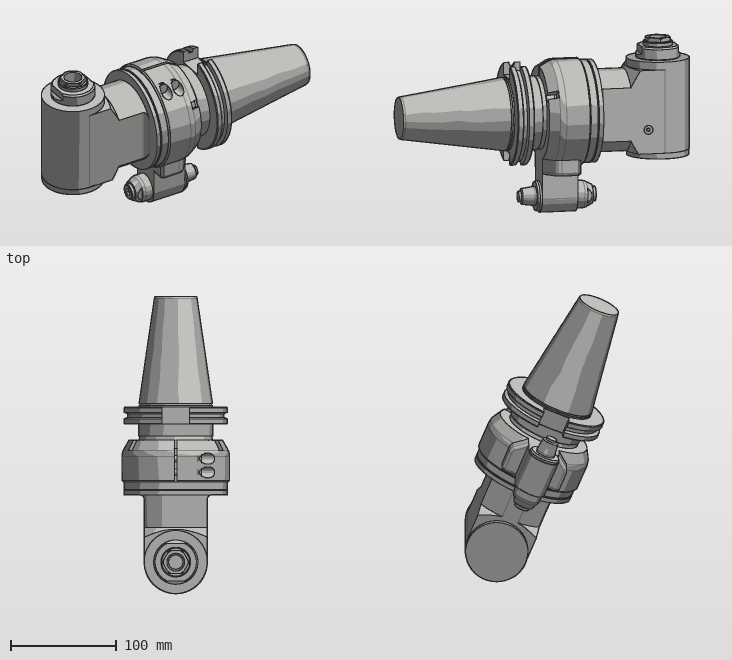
import cadquery as cq
import math


OVERALL_LENGTH = 281.5

HEAD_RADIUS = 60.0 / 2
HEAD_TOP = 49.0
HEAD_BOTTOM = -44.2
CAP_TOP = -38.5
CAP_RADIUS = 29.5
CHEEK_TOP = 41.7
NECK_RADIUS = 39.5
FLARE_START = 33.0
FLARE_LENGTH = 11.3
FLARE_GROWTH = 14.5
NECK_END = 63.6
FLAT_FILLET = 4.2

PLUG_Y = 15.8
PLUG_Z = -15.5
PLUG_DIAMETER = 8.5
PLUG_DEPTH = 0.5
PLUG_SOCKET_DIAMETER = 3.0
PLUG_SOCKET_DEPTH = 2.3

SHOULDER_RADIUS = 49.0
SHOULDER_GROOVE_Y = 68.5
SHOULDER_GROOVE_WIDTH = 1.0
SHOULDER_GROOVE_DEPTH = 0.8
COLLAR_FRONT = 76.0
COLLAR_BACK = 115.5
JOURNAL_RADIUS = 37.2
JOURNAL_END = 107.5
RELIEF_RADIUS = 35.0
RELIEF_WAIST_RADIUS = 34.0
RELIEF_END = 119.5
SHANK_RADIUS = 35.2
FLANGE_RADIUS = 49.0
FLANGE_FRONT = 130.7
FLANGE_WIDTH = 16.3
FLANGE_RIM_WIDTH = 5.0
FLANGE_GROOVE_RADIUS = 45.5
FLANGE_GROOVE_WIDTH = 3.5
FLANGE_CHAMFER = 0.8
DRIVE_SLOT_WIDTH = 25.5
DRIVE_SLOT_HEIGHT = 35.5
GAUGE_Y = 150.0
GAUGE_RADIUS = 35.0
GAUGE_GROOVE_RADIUS = 34.0
GAUGE_GROOVE_WIDTH = 1.7
ARBOR_END = OVERALL_LENGTH - HEAD_RADIUS
TAPER_RATIO = 7 / 48
TAPER_END_CHAMFER = 2.0
TAPER_END_STEP = 0.5

COLLAR_RADIUS = 51.0
COLLAR_CHAMFER = 1.5
COLLAR_CONE_START = 106.0
COLLAR_CONE_RADIUS = 49.8
COLLAR_BACK_RADIUS = 44.5
COLLAR_ROUND_START = 100.0
SLIT_WIDTH = 2.8
NOTCH_ANGLES = (30, 150)
NOTCH_WIDTH = 6.8
NOTCH_FLOOR = 38.0
SCREW_PLACES = (85.0, 98.0)
SCREW_Z = 40.5
SCREW_DIAMETER = 6.0
SCREW_HEAD_DIAMETER = 10.0
SCREW_HEAD_END = 24.2
SCREW_POCKET_DIAMETER = 10.5
SCREW_POCKET_FLOOR = 21.0

LUG_FRONT = 80.8
LUG_HALF_WIDTH = 29.3
LUG_BOTTOM = -57.2
LUG_CHAMFER = 2.3
LUG_FILLET = 2.8
LUG_BORE_RADIUS = 41.7
ARM_RADIUS = 15.0
ARM_BOTTOM = -95.7
ARM_CENTRE_Z = ARM_BOTTOM + ARM_RADIUS

PIN_Z = -80.0
PIN_SHANK_RADIUS = 18.0 / 2
PIN_NOSE_END = 61.0
PIN_NOSE_RADIUS = 7.3
PIN_NOSE_CHAMFER = 0.5
PIN_BUSH_CONE_END = 64.5
PIN_BUSH_CONE_END_RADIUS = 9.3
PIN_BUSH_CONE_START = 70.5
PIN_BUSH_CONE_START_RADIUS = 12.5
PIN_BUSH_CHAMFER_START = 73.5
PIN_BUSH_RADIUS = 13.2
PIN_FLAT_WIDTH = 20.3
PIN_SOCKET_CORNERS = 7.0
PIN_SOCKET_DEPTH = 2.5
PIN_SOCKET_TURN = 30
PIN_FLANGE_RADIUS = 14.6
PIN_FLANGE_CHAMFER = 0.8
PIN_FLANGE_RIM_END = 117.5
PIN_FLANGE_BACK = 119.5
PIN_TIP_START = 121.0
PIN_TIP_SMALL_RADIUS = 7.5
PIN_TIP_SMALL_END = 132.5
PIN_TIP_CHAMFER_END = 133.5
PIN_END_RADIUS = 10.0 / 2
PIN_END = 135.7

NOSE_RADIUS = 42.0 / 2
NOSE_TOP = 61.0
NOSE_BASE_CHAMFER = 0.8
NOSE_TOP_CHAMFER = 1.5
NOSE_TOP_CHAMFER_HEIGHT = 1.7
NOSE_FLAT = 17.7
NOSE_FLAT_BOTTOM = 54.3
NOSE_FLAT_RUNOUT = 1.7
HUB_RADIUS = 14.0
HUB_TOP = 65.0
HUB_CHAMFER = 0.8
HEX_CORNERS = 25.3
HEX_CHAMFER = 1.0
SPINDLE_TOP = 68.7
BORE_RADIUS = 8.5
BORE_FLOOR_RADIUS = 6.8
BORE_DEPTH = 11.3


def box(x_range, y_range, z_range):
    """Box between the given limits along each axis."""
    sizes = [limits[1] - limits[0] for limits in (x_range, y_range, z_range)]
    corner = (x_range[0], y_range[0], z_range[0])
    return cq.Workplane("XY").box(*sizes, centered=False).translate(corner)


def turned_about_y(points, centre_z=0):
    """Solid turned about a Y-parallel axis from a closed outline of (radius, y) points."""
    outline = cq.Workplane("XY").polyline(points).close()
    return outline.revolve(360, (0, 0, 0), (0, 1, 0)).translate((0, 0, centre_z))


def disc_along_x(radius, x_range, y, z):
    """Cylinder whose axis runs along X."""
    length = x_range[1] - x_range[0]
    return cq.Workplane("YZ", origin=(x_range[0], y, z)).circle(radius).extrude(length)


def make_neck():
    """Neck with a conical flare, planed on both sides and running into the head."""
    flare_end = FLARE_START - FLARE_LENGTH
    flare_radius = NECK_RADIUS + FLARE_GROWTH
    turned = turned_about_y([
        (0, 0), (flare_radius, 0), (flare_radius, flare_end),
        (NECK_RADIUS, FLARE_START), (NECK_RADIUS, NECK_END), (0, NECK_END),
    ])
    plan = (
        cq.Workplane("XY", origin=(0, 0, CAP_TOP))
        .moveTo(-HEAD_RADIUS, 0)
        .lineTo(HEAD_RADIUS, 0)
        .lineTo(HEAD_RADIUS, NECK_END - FLAT_FILLET)
        .radiusArc((HEAD_RADIUS + FLAT_FILLET, NECK_END), FLAT_FILLET)
        .lineTo(-HEAD_RADIUS - FLAT_FILLET, NECK_END)
        .radiusArc((-HEAD_RADIUS, NECK_END - FLAT_FILLET), FLAT_FILLET)
        .close()
        .extrude(CHEEK_TOP - CAP_TOP)
    )
    return turned.intersect(plan)


def make_head():
    """Upright cylinder of the housing with a slightly narrower cap below."""
    head = cq.Workplane("XY", origin=(0, 0, CAP_TOP)).circle(HEAD_RADIUS).extrude(HEAD_TOP - CAP_TOP)
    cap = cq.Workplane("XY", origin=(0, 0, HEAD_BOTTOM)).circle(CAP_RADIUS).extrude(CAP_TOP - HEAD_BOTTOM)
    return head.union(cap)


def make_arbor():
    """Shoulder ring, journal, shank, grooved flange and steep taper, turned in one."""
    flange_back = FLANGE_FRONT + FLANGE_WIDTH
    flange_middle = FLANGE_FRONT + FLANGE_WIDTH / 2
    rim_edge = FLANGE_RADIUS - FLANGE_CHAMFER
    front_rim_end = FLANGE_FRONT + FLANGE_RIM_WIDTH
    back_rim_end = flange_back - FLANGE_RIM_WIDTH
    chamfer_start = ARBOR_END - TAPER_END_CHAMFER
    taper_end_radius = GAUGE_RADIUS - TAPER_RATIO * (chamfer_start - GAUGE_Y)
    arbor = turned_about_y([
        (0, NECK_END),
        (SHOULDER_RADIUS, NECK_END),
        (SHOULDER_RADIUS, COLLAR_FRONT),
        (JOURNAL_RADIUS, COLLAR_FRONT),
        (JOURNAL_RADIUS, JOURNAL_END),
        (RELIEF_RADIUS, JOURNAL_END),
        (RELIEF_RADIUS, COLLAR_BACK),
        (RELIEF_WAIST_RADIUS, RELIEF_END),
        (SHANK_RADIUS, RELIEF_END),
        (SHANK_RADIUS, FLANGE_FRONT),
        (rim_edge, FLANGE_FRONT),
        (FLANGE_RADIUS, FLANGE_FRONT + FLANGE_CHAMFER),
        (FLANGE_RADIUS, front_rim_end),
        (FLANGE_GROOVE_RADIUS, flange_middle - FLANGE_GROOVE_WIDTH / 2),
        (FLANGE_GROOVE_RADIUS, flange_middle + FLANGE_GROOVE_WIDTH / 2),
        (FLANGE_RADIUS, back_rim_end),
        (FLANGE_RADIUS, flange_back - FLANGE_CHAMFER),
        (rim_edge, flange_back),
        (GAUGE_RADIUS, flange_back),
        (GAUGE_RADIUS, GAUGE_Y - GAUGE_GROOVE_WIDTH),
        (GAUGE_GROOVE_RADIUS, GAUGE_Y - GAUGE_GROOVE_WIDTH),
        (GAUGE_GROOVE_RADIUS, GAUGE_Y),
        (GAUGE_RADIUS, GAUGE_Y),
        (taper_end_radius, chamfer_start),
        (taper_end_radius - TAPER_END_STEP, ARBOR_END),
        (0, ARBOR_END),
    ])
    groove_floor = SHOULDER_RADIUS - SHOULDER_GROOVE_DEPTH
    groove_front = SHOULDER_GROOVE_Y - SHOULDER_GROOVE_WIDTH / 2
    groove_back = SHOULDER_GROOVE_Y + SHOULDER_GROOVE_WIDTH / 2
    groove = turned_about_y([
        (groove_floor, groove_front), (COLLAR_RADIUS, groove_front),
        (COLLAR_RADIUS, groove_back), (groove_floor, groove_back),
    ])
    arbor = arbor.cut(groove)
    slot_x = (-DRIVE_SLOT_WIDTH / 2, DRIVE_SLOT_WIDTH / 2)
    for z_range in ((DRIVE_SLOT_HEIGHT, FLANGE_RADIUS), (-FLANGE_RADIUS, -DRIVE_SLOT_HEIGHT)):
        arbor = arbor.cut(box(slot_x, (FLANGE_FRONT, flange_back), z_range))
    return arbor


def make_housing():
    """Housing with the arbor, the neck, the head and a socket plug in its -X side."""
    housing = make_arbor().union(make_neck()).union(make_head())
    recess_x = (-HEAD_RADIUS, -HEAD_RADIUS + PLUG_DEPTH)
    socket_x = (-HEAD_RADIUS, -HEAD_RADIUS + PLUG_SOCKET_DEPTH)
    housing = housing.cut(disc_along_x(PLUG_DIAMETER / 2, recess_x, PLUG_Y, PLUG_Z))
    return housing.cut(disc_along_x(PLUG_SOCKET_DIAMETER / 2, socket_x, PLUG_Y, PLUG_Z))


def tangent_round_radius(drop):
    """Radius of the round that leaves the straight flank tangentially and drops inward to the cone."""
    run = COLLAR_CONE_START - COLLAR_ROUND_START
    return (run**2 + drop**2) / (2 * drop)


def make_ring():
    """Turned ring of the collar, stepped inside to fit the journal and the relief behind it."""
    round_radius = tangent_round_radius(COLLAR_RADIUS - COLLAR_CONE_RADIUS)
    return (
        cq.Workplane("XY")
        .moveTo(JOURNAL_RADIUS, COLLAR_FRONT)
        .lineTo(COLLAR_RADIUS - COLLAR_CHAMFER, COLLAR_FRONT)
        .lineTo(COLLAR_RADIUS, COLLAR_FRONT + COLLAR_CHAMFER)
        .lineTo(COLLAR_RADIUS, COLLAR_ROUND_START)
        .radiusArc((COLLAR_CONE_RADIUS, COLLAR_CONE_START), -round_radius)
        .lineTo(COLLAR_BACK_RADIUS, COLLAR_BACK)
        .lineTo(RELIEF_RADIUS, COLLAR_BACK)
        .lineTo(RELIEF_RADIUS, JOURNAL_END)
        .lineTo(JOURNAL_RADIUS, JOURNAL_END)
        .close()
        .revolve(360, (0, 0, 0), (0, 1, 0))
    )


def make_lug():
    """Lug below the ring; its sides narrow with the ring so that they meet it at one height."""
    meeting_height_squared = COLLAR_RADIUS**2 - LUG_HALF_WIDTH**2
    cone_start_width = math.sqrt(COLLAR_CONE_RADIUS**2 - meeting_height_squared)
    back_width = math.sqrt(COLLAR_BACK_RADIUS**2 - meeting_height_squared)
    round_radius = tangent_round_radius(LUG_HALF_WIDTH - cone_start_width)
    lug = (
        cq.Workplane("XY", origin=(0, 0, LUG_BOTTOM))
        .moveTo(-LUG_HALF_WIDTH, LUG_FRONT)
        .lineTo(LUG_HALF_WIDTH, LUG_FRONT)
        .lineTo(LUG_HALF_WIDTH, COLLAR_ROUND_START)
        .radiusArc((cone_start_width, COLLAR_CONE_START), -round_radius)
        .lineTo(back_width, COLLAR_BACK)
        .lineTo(-back_width, COLLAR_BACK)
        .lineTo(-cone_start_width, COLLAR_CONE_START)
        .radiusArc((-LUG_HALF_WIDTH, COLLAR_ROUND_START), -round_radius)
        .close()
        .extrude(-LUG_BOTTOM)
    )
    lug = lug.edges("|Z and <Y").chamfer(LUG_CHAMFER)
    lug = lug.faces("<Z").edges("not(>Y)").fillet(LUG_FILLET)
    bore = cq.Workplane("XZ").circle(LUG_BORE_RADIUS).extrude(-COLLAR_BACK)
    return lug.cut(bore)


def make_arm():
    """Round-ended torque arm hanging from the lug."""
    return (
        cq.Workplane("XZ", origin=(0, LUG_FRONT, 0))
        .moveTo(-ARM_RADIUS, -COLLAR_BACK_RADIUS)
        .lineTo(-ARM_RADIUS, ARM_CENTRE_Z)
        .threePointArc((0, ARM_BOTTOM), (ARM_RADIUS, ARM_CENTRE_Z))
        .lineTo(ARM_RADIUS, -COLLAR_BACK_RADIUS)
        .close()
        .extrude(LUG_FRONT - COLLAR_BACK)
    )


def make_collar():
    """Slit clamping collar with its two clamp screws, spanner notches, lug and torque arm."""
    collar = make_ring().union(make_lug()).union(make_arm())
    slit_x = (-SLIT_WIDTH / 2, SLIT_WIDTH / 2)
    collar = collar.cut(box(slit_x, (COLLAR_FRONT, COLLAR_BACK), (0, COLLAR_RADIUS)))
    notch_z = (-NOTCH_WIDTH / 2, NOTCH_WIDTH / 2)
    notch = box((NOTCH_FLOOR, COLLAR_RADIUS), (COLLAR_CONE_START, COLLAR_BACK), notch_z)
    for angle in NOTCH_ANGLES:
        collar = collar.cut(notch.rotate((0, 0, 0), (0, 1, 0), -angle))
    for y in SCREW_PLACES:
        pocket_x = (SCREW_POCKET_FLOOR, COLLAR_RADIUS)
        head_x = (SCREW_POCKET_FLOOR, SCREW_HEAD_END)
        shank_x = (-SLIT_WIDTH, SLIT_WIDTH)
        collar = collar.cut(disc_along_x(SCREW_POCKET_DIAMETER / 2, pocket_x, y, SCREW_Z))
        collar = collar.union(disc_along_x(SCREW_HEAD_DIAMETER / 2, head_x, y, SCREW_Z))
        collar = collar.union(disc_along_x(SCREW_DIAMETER / 2, shank_x, y, SCREW_Z))
    bore = cq.Workplane("XZ", origin=(0, COLLAR_BACK, 0)).circle(PIN_SHANK_RADIUS)
    pin_bore = bore.extrude(COLLAR_BACK - LUG_FRONT).translate((0, 0, PIN_Z))
    return collar.cut(pin_bore)


def make_pin():
    """Torque pin through the arm: tapered tip and flange behind, flatted bush and nose in front."""
    pin = turned_about_y([
        (0, PIN_NOSE_END),
        (PIN_NOSE_RADIUS - PIN_NOSE_CHAMFER, PIN_NOSE_END),
        (PIN_NOSE_RADIUS, PIN_NOSE_END + PIN_NOSE_CHAMFER),
        (PIN_NOSE_RADIUS, PIN_BUSH_CONE_END),
        (PIN_BUSH_CONE_END_RADIUS, PIN_BUSH_CONE_END),
        (PIN_BUSH_CONE_START_RADIUS, PIN_BUSH_CONE_START),
        (PIN_BUSH_RADIUS, PIN_BUSH_CHAMFER_START),
        (PIN_BUSH_RADIUS, LUG_FRONT),
        (PIN_SHANK_RADIUS, LUG_FRONT),
        (PIN_SHANK_RADIUS, COLLAR_BACK),
        (PIN_FLANGE_RADIUS, COLLAR_BACK),
        (PIN_FLANGE_RADIUS, PIN_FLANGE_RIM_END),
        (PIN_FLANGE_RADIUS - PIN_FLANGE_CHAMFER, PIN_FLANGE_BACK),
        (PIN_SHANK_RADIUS, PIN_FLANGE_BACK),
        (PIN_SHANK_RADIUS, PIN_TIP_START),
        (PIN_TIP_SMALL_RADIUS, PIN_TIP_SMALL_END),
        (PIN_END_RADIUS, PIN_TIP_CHAMFER_END),
        (PIN_END_RADIUS, PIN_END),
        (0, PIN_END),
    ], PIN_Z)
    flat_x = PIN_FLAT_WIDTH / 2
    flat_y = (PIN_NOSE_END, PIN_BUSH_CONE_START)
    flat_z = (PIN_Z - PIN_BUSH_RADIUS, PIN_Z + PIN_BUSH_RADIUS)
    for x_range in ((-PIN_BUSH_RADIUS, -flat_x), (flat_x, PIN_BUSH_RADIUS)):
        pin = pin.cut(box(x_range, flat_y, flat_z))
    socket = (
        cq.Workplane("XZ", origin=(0, PIN_NOSE_END, PIN_Z))
        .polygon(6, PIN_SOCKET_CORNERS)
        .extrude(-PIN_SOCKET_DEPTH)
        .rotate((0, 0, PIN_Z), (0, 1, PIN_Z), PIN_SOCKET_TURN)
    )
    return pin.cut(socket)


def make_spindle():
    """Spindle nose with two wrench flats, a hub, a hexagon and a tapered tool bore."""
    turned = (
        cq.Workplane("XZ")
        .polyline([
            (0, HEAD_TOP),
            (NOSE_RADIUS - NOSE_BASE_CHAMFER, HEAD_TOP),
            (NOSE_RADIUS, HEAD_TOP + NOSE_BASE_CHAMFER),
            (NOSE_RADIUS, NOSE_TOP - NOSE_TOP_CHAMFER_HEIGHT),
            (NOSE_RADIUS - NOSE_TOP_CHAMFER, NOSE_TOP),
            (HUB_RADIUS, NOSE_TOP),
            (HUB_RADIUS, HUB_TOP - HUB_CHAMFER),
            (HUB_RADIUS - HUB_CHAMFER, HUB_TOP),
            (0, HUB_TOP),
        ])
        .close()
        .revolve(360, (0, 0, 0), (0, 1, 0))
    )
    flat_cut = (
        cq.Workplane("YZ", origin=(-NOSE_RADIUS, 0, 0))
        .polyline([
            (NOSE_FLAT, NOSE_TOP),
            (NOSE_FLAT, NOSE_FLAT_BOTTOM),
            (NOSE_RADIUS, NOSE_FLAT_BOTTOM - NOSE_FLAT_RUNOUT),
            (NOSE_RADIUS, NOSE_TOP),
        ])
        .close()
        .extrude(2 * NOSE_RADIUS)
    )
    hex_plane = cq.Workplane("XY", origin=(0, 0, HUB_TOP))
    hex_height = SPINDLE_TOP - HUB_TOP
    corner_limit = hex_plane.circle(HEX_CORNERS / 2).extrude(hex_height).faces(">Z").chamfer(HEX_CHAMFER)
    hexagon = hex_plane.polygon(6, HEX_CORNERS).extrude(hex_height).intersect(corner_limit)
    bore = (
        cq.Workplane("XY", origin=(0, 0, SPINDLE_TOP))
        .circle(BORE_RADIUS)
        .workplane(offset=-BORE_DEPTH)
        .circle(BORE_FLOOR_RADIUS)
        .loft()
    )
    return turned.cut(flat_cut).cut(flat_cut.mirror("XZ")).union(hexagon).cut(bore)


housing = make_housing()
collar = make_collar()
pin = make_pin()
spindle = make_spindle()

result = cq.Compound.makeCompound([housing.val(), collar.val(), pin.val(), spindle.val()])